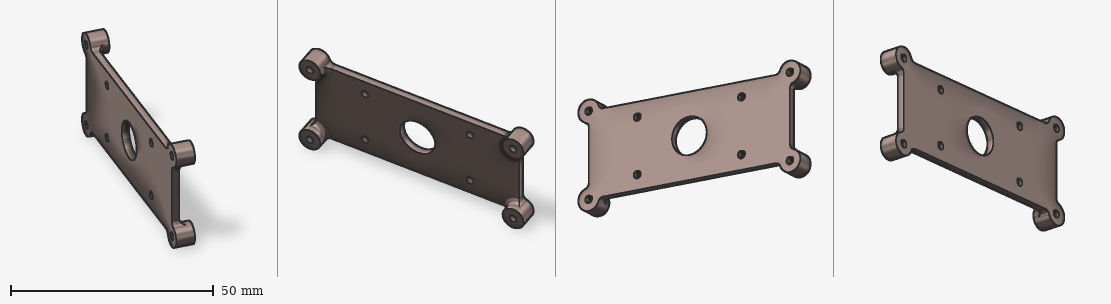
import cadquery as cq

length = 64.0
height = 29.0
boss_diameter = 6.0
boss_depth = 5.0
plate_thickness = 2.0
screw_hole_diameter = 2.0
center_hole_diameter = 10.0
inner_hole_spacing_x = 30.0
inner_hole_spacing_z = 15.0
blend_radius = 1.5

plate_length = length - boss_diameter
plate_height = height - boss_diameter
boss_radius = boss_diameter / 2


def front_face():
    """Workplane on the flat front face (Y = 0); negative extrusions go towards +Y."""
    return cq.Workplane("XZ")


def rectangle_corners(spacing_x, spacing_z):
    return front_face().rect(spacing_x, spacing_z, forConstruction=True).vertices()


def cylinders(centers, diameter, depth):
    return centers.circle(diameter / 2).extrude(-depth)


def boss_centers():
    return rectangle_corners(plate_length, plate_height)


def outline_prism(depth):
    """Rectangle with a disc on each corner and blended inner corners."""
    rectangle = front_face().rect(plate_length, plate_height).extrude(-depth)
    prism = rectangle.union(cylinders(boss_centers(), boss_diameter, depth))
    margin = 0.05
    half_x = plate_length / 2 + margin
    half_z = plate_height / 2 + margin
    inner_corners = cq.selectors.BoxSelector((-half_x, 0, -half_z), (half_x, depth, half_z))
    return prism.edges("|Y").edges(inner_corners).fillet(blend_radius)


def root_flare():
    """Boss foot at the origin, flaring through a concave arc onto the plate."""
    flare_radius = boss_radius + blend_radius
    flare_top = plate_thickness + blend_radius
    profile = (
        cq.Workplane("XY")
        .lineTo(flare_radius, 0)
        .lineTo(flare_radius, plate_thickness)
        .radiusArc((boss_radius, flare_top), blend_radius)
        .lineTo(0, flare_top)
        .close()
    )
    return profile.revolve(360, (0, 0, 0), (0, 1, 0))


body = outline_prism(plate_thickness)
body = body.union(cylinders(boss_centers(), boss_diameter, boss_depth))

outline = outline_prism(boss_depth)
for side_x in (-1, 1):
    for side_z in (-1, 1):
        boss_position = (side_x * plate_length / 2, 0, side_z * plate_height / 2)
        body = body.union(root_flare().translate(boss_position).intersect(outline))

inner_hole_centers = rectangle_corners(inner_hole_spacing_x, inner_hole_spacing_z)
body = body.cut(cylinders(boss_centers(), screw_hole_diameter, boss_depth))
body = body.cut(cylinders(inner_hole_centers, screw_hole_diameter, plate_thickness))
body = body.cut(cylinders(front_face(), center_hole_diameter, plate_thickness))

result = body